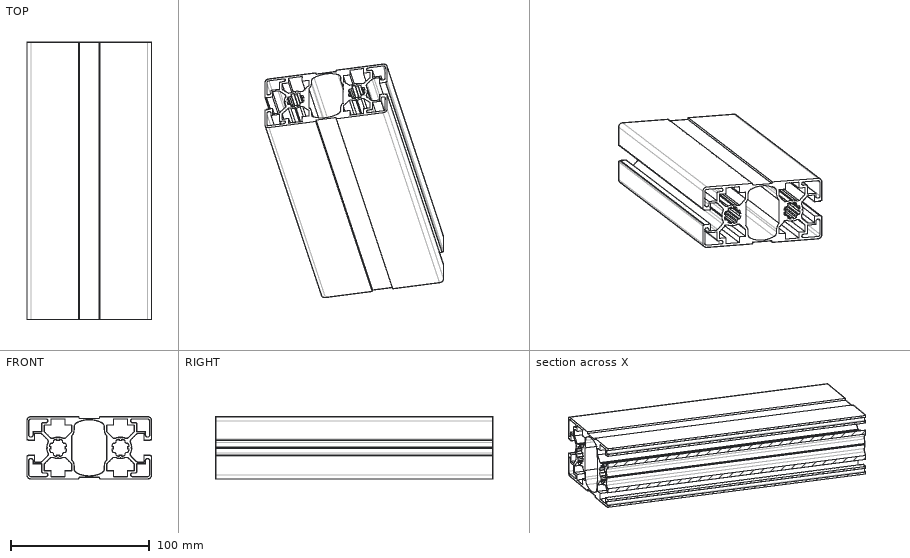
import cadquery as cq
import math

module = 45.0
length = 200.0
half_module = module / 2

corner_radius = 3.0
middle_groove_width = 15.2
middle_groove_floor_width = 14.5
middle_groove_depth = 1.2

flat_wall = 1.8
side_wall = 1.5
diagonal_offset = 1.7

slot_opening = 10.5
slot_lip_depth = 5.5
slot_inner_width = 20.5
slot_lip_radius = 0.5
slot_step_depth = 1.2
slot_step_height = 0.5
slot_corner_radius = 2.0
slot_floor_radius = 2.0
drill_groove_width = 1.0
drill_groove_depth = 0.5

core_radius = 8.2
bore_radius = 6.2
bore_tip_radius = 5.2
bore_tooth_width = 2.0
bore_slot_width = 2.2

chamber_half_width = 9.8
chamber_floor = 7.0
chamber_floor_radius = 7.8
chamber_shoulder = 16.5
chamber_neck_half_width = 5.0

pocket_rib_face = 11.8
pocket_ledge = 11.5
pocket_end = 7.5
pocket_toe = 7.8
pocket_toe_side = 18.0
pocket_upper_floor = 18.2
pocket_corner_radius = 1.5
pocket_step_radius = 1.0

cavity_waist_half_width = 12.5
cavity_waist_half_height = 8.5
cavity_half_width = 10.8
cavity_half_height = 20.2
cavity_roof_radius = 20.0
cavity_corner_radius = 3.5
cavity_flare_radius = 6.5

ceiling = half_module - flat_wall


def prism(sketch):
    """Extrude a closed XZ outline over the full length, centred in Y."""
    return sketch.extrude(length / 2, both=True)


def outline(points):
    """Extrude a closed straight-sided XZ outline."""
    return prism(cq.Workplane("XZ").polyline(points).close())


def box(width, height):
    """Full-length bar centred on the origin."""
    return cq.Workplane("XY").box(width, length, height)


def cylinder(radius):
    """Full-length round bar along Y."""
    return prism(cq.Workplane("XZ").circle(radius))


def fillet_at(solid, x, z, radius):
    """Round the lengthwise edge nearest to (x, z)."""
    return solid.edges(cq.selectors.NearestToPointSelector((x, 0, z))).fillet(radius)




def drill_groove(surface_radius):
    """Small V mark sunk into the outer surface of the core, on its +X side."""
    return outline(
        [
            (surface_radius - drill_groove_depth, 0),
            (surface_radius, drill_groove_width / 2),
            (surface_radius, -drill_groove_width / 2),
        ]
    )


def t_slot():
    """Slot with stepped lips, slanted inner walls and the round core as its floor."""
    half_opening = slot_opening / 2
    half_inner = slot_inner_width / 2
    lip_x = half_module - slot_lip_depth
    step_x = half_module - slot_step_depth
    points = [
        (half_module, half_opening + slot_step_height),
        (step_x, half_opening + slot_step_height),
        (step_x, half_opening),
        (lip_x, half_opening),
        (lip_x, half_inner),
        (half_inner + diagonal_offset, half_inner),
        (diagonal_offset, 0),
    ]
    points += [(x, -z) for x, z in reversed(points[:-1])]
    slot = outline(points).cut(cylinder(core_radius))

    meeting_angle = math.pi / 4 - math.asin(diagonal_offset / math.sqrt(2) / core_radius)
    meeting_x = core_radius * math.cos(meeting_angle)
    meeting_z = core_radius * math.sin(meeting_angle)
    for level in (1, -1):
        slot = fillet_at(slot, half_inner + diagonal_offset, level * half_inner, slot_corner_radius)
        slot = fillet_at(slot, meeting_x, level * meeting_z, slot_floor_radius)

    return slot.union(drill_groove(core_radius))


def core_bore():
    """Round bore with two crossed pairs of parallel slots, which leave teeth between them."""
    slot_offset = (bore_tooth_width + bore_slot_width) / 2
    bore = cylinder(bore_tip_radius)
    for offset in (slot_offset, -slot_offset):
        bore = bore.union(box(2 * bore_radius, bore_slot_width).translate((0, 0, offset)))
        bore = bore.union(box(bore_slot_width, 2 * bore_radius).translate((offset, 0, 0)))
    return bore.intersect(cylinder(bore_radius))


def core_chamber():
    """Closed chamber above the core, narrowing to a neck under the top wall."""
    right_side = [
        (chamber_floor - diagonal_offset, chamber_floor),
        (chamber_half_width, chamber_half_width + diagonal_offset),
        (chamber_half_width, chamber_shoulder),
        (chamber_neck_half_width, chamber_shoulder),
        (chamber_neck_half_width, ceiling),
    ]
    left_side = [(-x, z) for x, z in reversed(right_side)]
    chamber = outline(right_side + left_side).cut(cylinder(chamber_floor_radius))
    return chamber.union(drill_groove(chamber_floor_radius).rotate((0, 0, 0), (0, 1, 0), -90))


def corner_pocket():
    """Hollow outer corner with a round toe behind the slot lip."""
    outer_x = half_module - side_wall
    end_radius = (ceiling - pocket_upper_floor) / 2
    toe_radius = (outer_x - pocket_toe_side) / 2
    pocket = prism(
        cq.Workplane("XZ")
        .moveTo(outer_x, ceiling)
        .lineTo(pocket_end + end_radius, ceiling)
        .threePointArc(
            (pocket_end, ceiling - end_radius),
            (pocket_end + end_radius, pocket_upper_floor),
        )
        .lineTo(pocket_rib_face, pocket_upper_floor)
        .lineTo(pocket_rib_face, pocket_ledge)
        .lineTo(pocket_toe_side, pocket_ledge)
        .lineTo(pocket_toe_side, pocket_toe + toe_radius)
        .threePointArc(
            (outer_x - toe_radius, pocket_toe),
            (outer_x, pocket_toe + toe_radius),
        )
        .close()
    )
    pocket = fillet_at(pocket, outer_x, ceiling, pocket_corner_radius)
    return fillet_at(pocket, pocket_rib_face, pocket_upper_floor, pocket_step_radius)


def module_voids():
    """All voids belonging to one square module."""
    voids = t_slot().union(core_bore())
    for chamber in (core_chamber(), corner_pocket()):
        voids = voids.union(chamber).union(chamber.mirror("XY"))
    return voids


def central_cavity():
    """Tall cavity with arched roof and floor, flaring to a wider waist at mid height."""
    flare_angle = math.acos(1 - (cavity_waist_half_width - cavity_half_width) / cavity_flare_radius)
    flare_top = cavity_waist_half_height + cavity_flare_radius * math.sin(flare_angle)
    flare_mid_x = cavity_half_width + cavity_flare_radius * (1 - math.cos(flare_angle / 2))
    flare_mid_z = flare_top - cavity_flare_radius * math.sin(flare_angle / 2)
    roof_center = cavity_half_height - cavity_roof_radius
    spring_angle = math.asin(cavity_half_width / cavity_roof_radius)
    spring_z = roof_center + cavity_roof_radius * math.cos(spring_angle)
    roof_mid = (
        cavity_roof_radius * math.sin(spring_angle / 2),
        roof_center + cavity_roof_radius * math.cos(spring_angle / 2),
    )
    quarter = prism(
        cq.Workplane("XZ")
        .lineTo(cavity_waist_half_width, 0)
        .lineTo(cavity_waist_half_width, cavity_waist_half_height)
        .threePointArc((flare_mid_x, flare_mid_z), (cavity_half_width, flare_top))
        .lineTo(cavity_half_width, spring_z)
        .threePointArc(roof_mid, (0, cavity_half_height))
        .close()
    )
    quarter = fillet_at(quarter, cavity_half_width, spring_z, cavity_corner_radius)
    half = quarter.union(quarter.mirror("YZ"))
    return half.union(half.mirror("XY"))


profile = box(2 * module, module).edges("|Y").fillet(corner_radius)

groove = outline(
    [
        (-middle_groove_width / 2, half_module),
        (-middle_groove_floor_width / 2, half_module - middle_groove_depth),
        (middle_groove_floor_width / 2, half_module - middle_groove_depth),
        (middle_groove_width / 2, half_module),
    ]
)
profile = profile.cut(groove).cut(groove.mirror("XY"))

profile = profile.cut(central_cavity())

right_voids = module_voids().translate((half_module, 0, 0))
profile = profile.cut(right_voids).cut(right_voids.mirror("YZ"))

for side in (1, -1):
    for level in (1, -1):
        step_z = level * (slot_opening / 2 + slot_step_height)
        profile = fillet_at(profile, side * module, step_z, slot_lip_radius)

result = profile